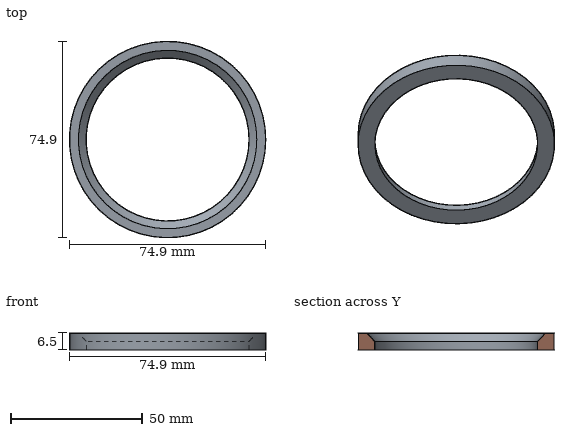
import cadquery as cq

outer_diameter = 74.9
height = 6.5
bore_diameter = 62.0
cone_top_diameter = 68.0
cone_depth = 3.25

outer_radius = outer_diameter / 2
bore_radius = bore_diameter / 2
cone_top_radius = cone_top_diameter / 2
cone_base_height = height - cone_depth

section = (
    cq.Workplane("XZ")
    .moveTo(bore_radius, 0)
    .lineTo(outer_radius, 0)
    .lineTo(outer_radius, height)
    .lineTo(cone_top_radius, height)
    .lineTo(bore_radius, cone_base_height)
    .close()
)

result = section.revolve(360, (0, 0, 0), (0, 1, 0))